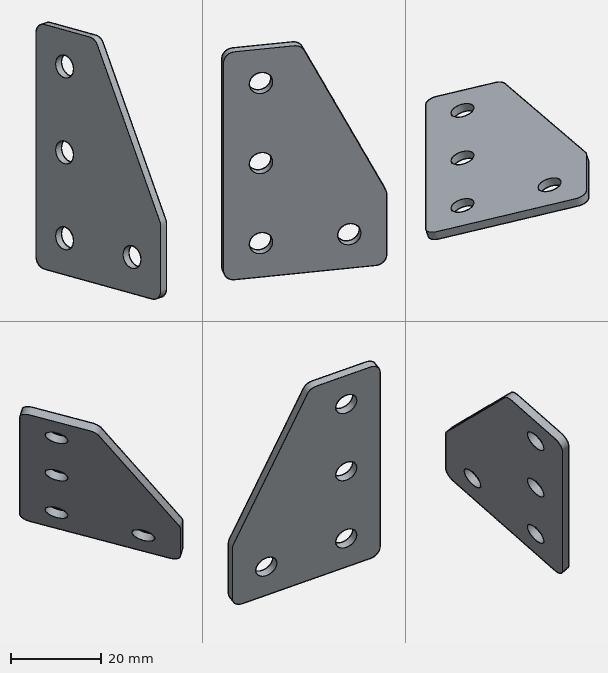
import cadquery as cq

hole_pitch = 20.0
edge_margin = 8.5
thickness = 2.0
hole_diameter = 5.25
corner_radius = 2.5
top_width = 17.55

width = hole_pitch + 2 * edge_margin
height = 2 * hole_pitch + 2 * edge_margin

slant_slope = 2
right_edge_height = height - slant_slope * (width - top_width)

outline = [
    (0, 0),
    (width, 0),
    (width, right_edge_height),
    (top_width, height),
    (0, height),
]

hole_steps = [(0, 0), (1, 0), (0, 1), (0, 2)]
hole_centers = [
    (edge_margin + column * hole_pitch, edge_margin + row * hole_pitch)
    for column, row in hole_steps
]

plate = (
    cq.Workplane("XZ")
    .polyline(outline)
    .close()
    .extrude(thickness)
    .edges("|Y")
    .fillet(corner_radius)
)

holes = (
    cq.Workplane("XZ")
    .pushPoints(hole_centers)
    .circle(hole_diameter / 2)
    .extrude(thickness)
)

result = plate.cut(holes)